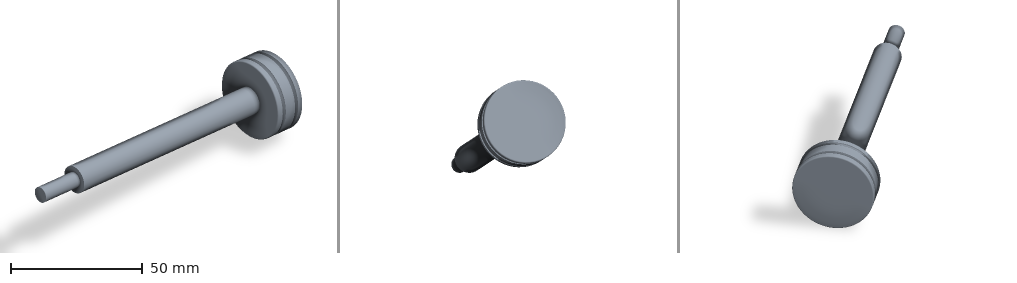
import cadquery as cq

total_length = 120.6
head_thickness = 12.7
pin_length = 17.5

head_diameter = 31.7
shaft_diameter = 11.1
pin_diameter = 6.3

groove_radius = 0.79
groove_centers = (head_thickness / 4, head_thickness * 3 / 4)
edge_fillet = 0.5

tilt_angle = 7.65


def cylinder(diameter, start, end):
    """Cylinder along the Z axis between two axial positions."""
    return cq.Workplane("XY").workplane(offset=start).circle(diameter / 2).extrude(end - start)


def ring_groove(axial_position):
    """Ring of round section centered on the rim of the head."""
    section = cq.Workplane("XZ").center(head_diameter / 2, axial_position).circle(groove_radius)
    return section.revolve(360, (-head_diameter / 2, 0), (-head_diameter / 2, 1))


head = cylinder(head_diameter, 0, head_thickness).edges().fillet(edge_fillet)
for groove_center in groove_centers:
    head = head.cut(ring_groove(groove_center))

shaft_end = total_length - pin_length
shaft = cylinder(shaft_diameter, head_thickness, shaft_end)
pin = cylinder(pin_diameter, shaft_end, total_length)
upright_part = head.union(shaft).union(pin)

result = upright_part.rotate((0, 0, 0), (1, 0, 0), 90 - tilt_angle)